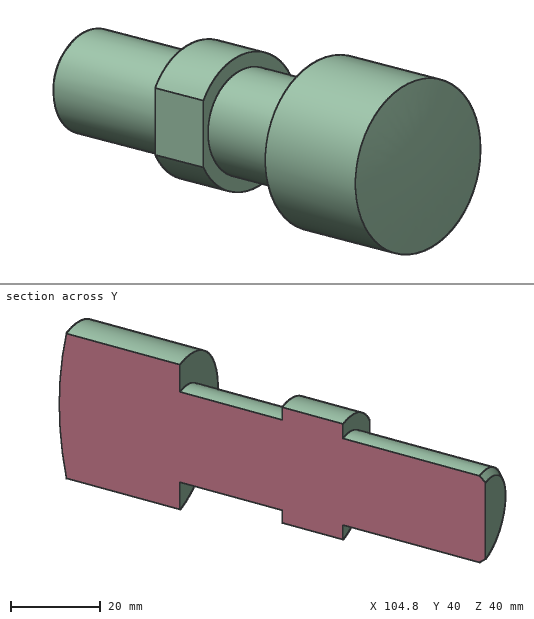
import cadquery as cq

total_length = 104.8
shank_length = 35.0
collar_length = 15.0
neck_length = 25.0
dome_height = 1.8
end_chamfer = 1.5

shank_diameter = 24.0
neck_diameter = 25.0
collar_diameter = 32.0
collar_across_flats = 28.0
head_diameter = 40.0

shank_start = -total_length / 2
collar_start = shank_start + shank_length
neck_start = collar_start + collar_length
head_start = neck_start + neck_length
dome_tip = total_length / 2
dome_start = dome_tip - dome_height


def cylinder(start, length, diameter):
    """Solid cylinder along +X."""
    return cq.Workplane("YZ", origin=(start, 0, 0)).circle(diameter / 2).extrude(length)


def make_shank():
    shank = cylinder(shank_start, shank_length, shank_diameter)
    return shank.faces("<X").chamfer(end_chamfer)


def make_collar():
    """Round collar with two wrench flats facing -Y and +Y."""
    collar = cylinder(collar_start, collar_length, collar_diameter)
    flats = cq.Workplane("XY").box(total_length, collar_across_flats, collar_diameter)
    return collar.intersect(flats)


def make_head():
    """Cylindrical head closed by a shallow spherical dome."""
    radius = head_diameter / 2
    dome_radius = (radius**2 + dome_height**2) / (2 * dome_height)
    mid_radius = radius / 2
    mid_x = dome_tip - dome_radius + (dome_radius**2 - mid_radius**2) ** 0.5
    return (
        cq.Workplane("XY")
        .moveTo(head_start, 0)
        .lineTo(head_start, radius)
        .lineTo(dome_start, radius)
        .threePointArc((mid_x, mid_radius), (dome_tip, 0))
        .close()
        .revolve(360, (0, 0, 0), (1, 0, 0))
    )


neck = cylinder(neck_start, neck_length, neck_diameter)
result = make_shank().union(make_collar()).union(neck).union(make_head())